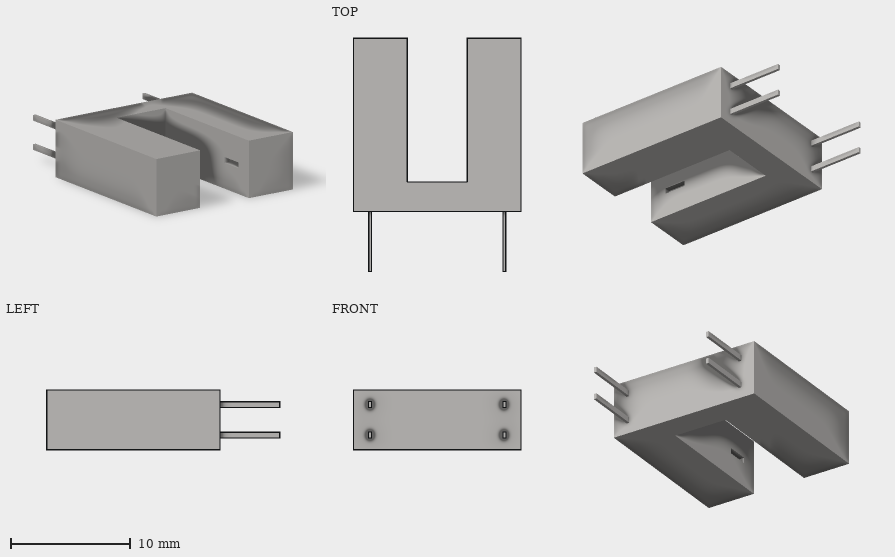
import cadquery as cq

BODY_WIDTH = 14.0
BODY_LENGTH = 14.5
BODY_HEIGHT = 5.0
GAP_WIDTH = 5.0
BASE_THICKNESS = 2.5

LEAD_LENGTH = 5.0
LEAD_WIDTH = 0.25
LEAD_HEIGHT = 0.5
LEAD_PITCH_X = 11.2
LEAD_PITCH_Z = 2.54

WINDOW_LENGTH = 2.0
WINDOW_HEIGHT = 0.5
WINDOW_DEPTH = 0.5
WINDOW_TIP_DISTANCE = 2.5


def make_body():
    """U-shaped block with its base on Y = 0, centred in X and Z."""
    block = cq.Workplane("XY").box(
        BODY_WIDTH, BODY_LENGTH, BODY_HEIGHT, centered=(True, False, True)
    )
    gap = (
        cq.Workplane("XY")
        .box(GAP_WIDTH, BODY_LENGTH - BASE_THICKNESS, BODY_HEIGHT, centered=(True, False, True))
        .translate((0, BASE_THICKNESS, 0))
    )
    return block.cut(gap)


def make_windows():
    """One rectangular bar across the gap that reaches into both arms."""
    return (
        cq.Workplane("YZ")
        .center(BODY_LENGTH - WINDOW_TIP_DISTANCE, 0)
        .rect(WINDOW_LENGTH, WINDOW_HEIGHT)
        .extrude(GAP_WIDTH / 2 + WINDOW_DEPTH, both=True)
    )


def make_leads():
    """Four rectangular leads on a rectangular grid."""
    return (
        cq.Workplane("XZ")
        .rarray(LEAD_PITCH_X, LEAD_PITCH_Z, 2, 2)
        .rect(LEAD_WIDTH, LEAD_HEIGHT)
        .extrude(LEAD_LENGTH)
    )


result = make_body().cut(make_windows()).union(make_leads())